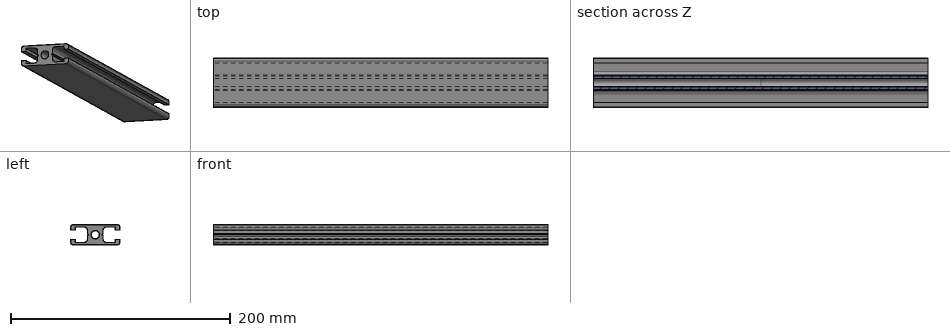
import cadquery as cq

LENGTH = 304.8
WIDTH = 45.0
HEIGHT = 18.5
CORNER_RADIUS = 2.5

BORE_DIAMETER = 7.3

SLOT_OPENING = 8.3
LIP_DEPTH = 4.35
WALL_THICKNESS = 2.25
WEB_WIDTH = 14.4
CHAMBER_RADIUS = 3.0

MARK_WIDTH = 2.0
MARK_DEPTH = 1.0

CUT_OVERLAP = 1.0


def make_bar():
    """Solid bar with its four long edges rounded."""
    bar = cq.Workplane("XY").box(LENGTH, WIDTH, HEIGHT)
    return bar.edges("|X").fillet(CORNER_RADIUS)


def make_slot_cutter(side):
    """T-slot with a V mark in its floor; side is +1 for the +Y face and -1 for the -Y face."""
    outside = WIDTH / 2 + CUT_OVERLAP
    lip_inner = WIDTH / 2 - LIP_DEPTH
    floor = WEB_WIDTH / 2
    half_opening = SLOT_OPENING / 2
    half_chamber = HEIGHT / 2 - WALL_THICKNESS
    upper_half = [
        (outside, half_opening),
        (lip_inner, half_opening),
        (lip_inner, half_chamber),
        (floor, half_chamber),
        (floor, MARK_WIDTH / 2),
    ]
    mark_tip = (floor - MARK_DEPTH, 0)
    lower_half = [(y, -z) for y, z in reversed(upper_half)]
    outline = [(side * y, z) for y, z in upper_half + [mark_tip] + lower_half]
    cutter = cq.Workplane("YZ").polyline(outline).close().extrude(LENGTH / 2, both=True)
    floor_corners = [(0, side * floor, z) for z in (-half_chamber, half_chamber)]
    for corner in floor_corners:
        cutter = cutter.edges(cq.selectors.NearestToPointSelector(corner)).fillet(CHAMBER_RADIUS)
    return cutter


def make_bore_cutter():
    """Round bore along the centre line."""
    return cq.Workplane("YZ").circle(BORE_DIAMETER / 2).extrude(LENGTH / 2, both=True)


result = make_bar().cut(make_bore_cutter())
for slot_side in (-1, 1):
    result = result.cut(make_slot_cutter(slot_side))